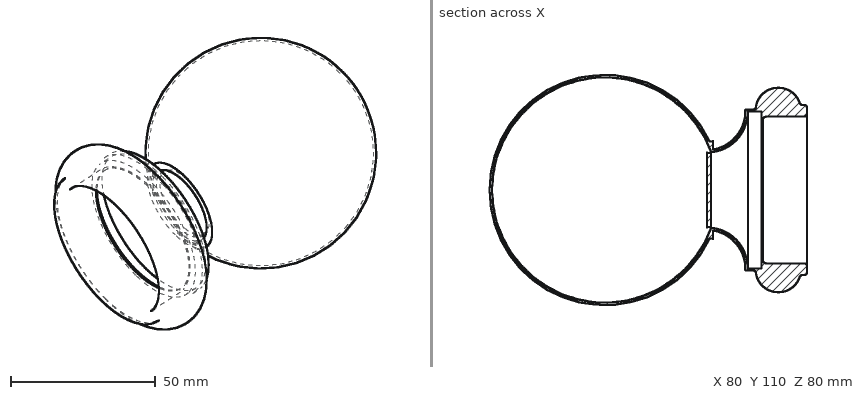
import cadquery as cq
import math

length = 110.0
ball_diameter = 80.0
wall = 1.0
edge_round = 1.0
small_blend = 0.5

foot_radius = 29.5
ring_radius = 35.5
ring_section_radius = 7.9
ring_center_y = 10.0

collar_radius = 28.0
collar_top_y = 21.7

neck_base_radius = 25.1
neck_top_radius = 14.1
neck_top_y = 32.6
neck_curve_radius = 13.2

lip_radius = 16.9

bore_radius = 25.3
bore_depth = 14.3
ridge_width = 0.5
inner_neck_base_radius = 26.4

ball_radius = ball_diameter / 2
ball_center_y = length - ball_radius
ring_section_center = ring_radius - ring_section_radius
ridge_radius = bore_radius - edge_round
groove_radius = collar_radius - wall
cavity_radius = ball_radius - wall
inner_curve_radius = neck_curve_radius + wall


def neck_curve_center():
    """Center of the outer neck arc, on the outside of the neck."""
    radial = neck_base_radius - neck_top_radius
    rise = neck_top_y - collar_top_y
    chord = math.hypot(radial, rise)
    offset = math.sqrt(neck_curve_radius**2 - (chord / 2) ** 2)
    middle_radius = (neck_base_radius + neck_top_radius) / 2
    middle_y = (neck_top_y + collar_top_y) / 2
    return middle_radius + offset * rise / chord, middle_y + offset * radial / chord


def round_middle(center, radius, degrees):
    """Point on a circle, used as the middle of a round."""
    angle = math.radians(degrees)
    return center[0] + radius * math.cos(angle), center[1] + radius * math.sin(angle)


def arc_middle(center, radius, start, end):
    """Middle of the shorter arc between two points of a circle."""
    direction_x = start[0] + end[0] - 2 * center[0]
    direction_y = start[1] + end[1] - 2 * center[1]
    scale = radius / math.hypot(direction_x, direction_y)
    return center[0] + scale * direction_x, center[1] + scale * direction_y


def blend_points(cylinder_radius, center, radius, blend, side):
    """Concave round between a cylinder and a circle: cylinder end, middle, circle end.

    The side is 1 above the circle center and -1 below it.
    """
    blend_x = cylinder_radius + blend
    reach = radius + blend
    blend_y = center[1] + side * math.sqrt(reach**2 - (blend_x - center[0]) ** 2)
    share = radius / reach
    cylinder_end = (cylinder_radius, blend_y)
    circle_end = (
        center[0] + share * (blend_x - center[0]),
        center[1] + share * (blend_y - center[1]),
    )
    middle = arc_middle((blend_x, blend_y), blend, cylinder_end, circle_end)
    return cylinder_end, middle, circle_end


def revolve(profile):
    return profile.close().revolve(360, (0, 0, 0), (0, 1, 0))


def outer_body():
    ring_center = (ring_section_center, ring_center_y)

    ball_center = (0, ball_center_y)
    foot_blend = blend_points(foot_radius, ring_center, ring_section_radius, edge_round, -1)
    collar_blend = blend_points(collar_radius, ring_center, ring_section_radius, small_blend, 1)
    lip_blend = blend_points(lip_radius, ball_center, ball_radius, small_blend, -1)

    foot_round_center = (foot_radius - edge_round, edge_round)
    collar_round_center = (collar_radius - edge_round, collar_top_y - edge_round)
    neck_base = (neck_base_radius, collar_top_y)
    neck_top = (neck_top_radius, neck_top_y)
    foot_top, foot_blend_middle, ring_start = foot_blend
    collar_bottom, collar_blend_middle, ring_end = collar_blend
    lip_top, lip_blend_middle, ball_start = lip_blend

    return revolve(
        cq.Workplane("XY")
        .lineTo(foot_radius - edge_round, 0)
        .threePointArc(round_middle(foot_round_center, edge_round, -45), (foot_radius, edge_round))
        .lineTo(*foot_top)
        .threePointArc(foot_blend_middle, ring_start)
        .threePointArc((ring_radius, ring_center_y), ring_end)
        .threePointArc(collar_blend_middle, collar_bottom)
        .lineTo(collar_radius, collar_top_y - edge_round)
        .threePointArc(
            round_middle(collar_round_center, edge_round, 45),
            (collar_radius - edge_round, collar_top_y),
        )
        .lineTo(*neck_base)
        .threePointArc(
            arc_middle(neck_curve_center(), neck_curve_radius, neck_base, neck_top),
            neck_top,
        )
        .lineTo(lip_radius, neck_top_y)
        .lineTo(*lip_top)
        .threePointArc(lip_blend_middle, ball_start)
        .threePointArc((ball_radius, ball_center_y), (0, length))
    )


def cavity():
    center = neck_curve_center()
    base_drop = math.sqrt(inner_curve_radius**2 - (center[0] - inner_neck_base_radius) ** 2)
    neck_base = (inner_neck_base_radius, center[1] - base_drop)
    neck_top = (center[0] - inner_curve_radius, center[1])
    cavity_bottom_y = ball_center_y - math.sqrt(cavity_radius**2 - neck_top[0] ** 2)
    mouth_center = (bore_radius + edge_round, edge_round)
    ridge_bottom_y = bore_depth + edge_round
    ridge_top_y = ridge_bottom_y + ridge_width
    ridge_center = (ridge_radius, bore_depth)

    return revolve(
        cq.Workplane("XY")
        .lineTo(bore_radius + edge_round, 0)
        .threePointArc(round_middle(mouth_center, edge_round, 225), (bore_radius, edge_round))
        .lineTo(bore_radius, bore_depth)
        .threePointArc(
            round_middle(ridge_center, edge_round, 45),
            (ridge_radius, ridge_bottom_y),
        )
        .lineTo(ridge_radius, ridge_top_y)
        .lineTo(groove_radius, ridge_top_y)
        .lineTo(groove_radius, neck_base[1])
        .lineTo(*neck_base)
        .threePointArc(arc_middle(center, inner_curve_radius, neck_base, neck_top), neck_top)
        .lineTo(neck_top[0], cavity_bottom_y)
        .threePointArc((cavity_radius, ball_center_y), (0, ball_center_y + cavity_radius))
    )


result = outer_body().cut(cavity())